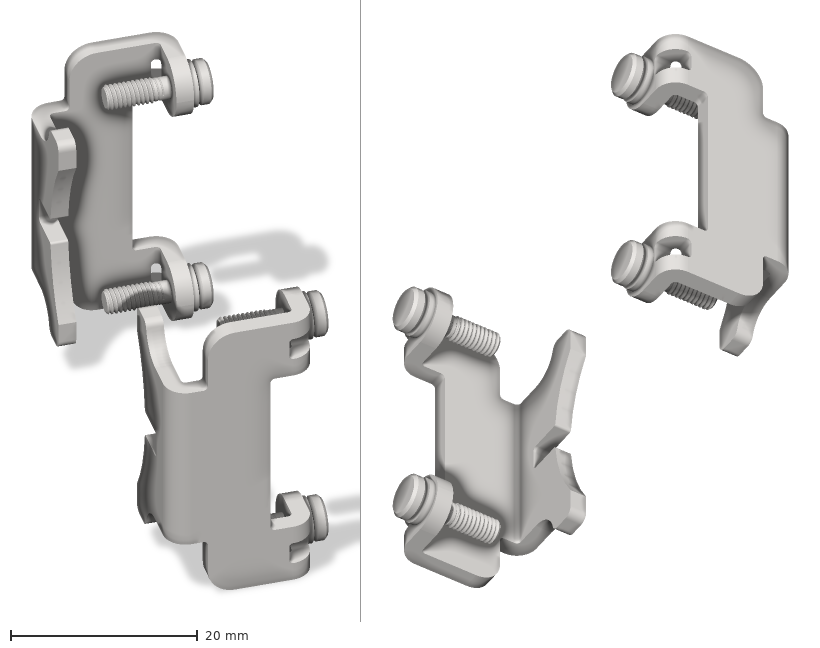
import cadquery as cq
import math

span = 55.0
half_span = span / 2
height = 34.0
half_height = height / 2
bracket_depth = 16.3

sheet = 2.0
inner_bend = 0.5
outer_bend = inner_bend + sheet
small_radius = 0.5

tab_height = 7.0
tab_end_radius = tab_height / 2
corner_margin = 0.005
tab_length = 8.5
half_neck = half_height - tab_height
screw_z = half_height - tab_end_radius
rear_notch_y = 11.3
arm_front_y = 4.3
arm_corner_radius = 3.0

relief_half_height = 1.3
relief_web_depth = 2.9
relief_tab_depth = 2.75
relief_radius = 0.45

flange_length = 12.5
half_flange = screw_z
lobe_radius = 1.0
bore_radius = 18.15
slot_floor = 5.0
half_slot = 1.55
slot_mouth_radius = 0.3

screw_x = 5.5
screw_depth = 18.7
shank_diameter = 2.55
collar_diameter = 5.2
collar_height = 0.7
neck_height = 0.19
head_diameter = 5.0
head_edge = 0.35
tip_y = 7.15
tip_chamfer = 0.3
thread_diameter = 2.8
thread_core = 2.35
thread_pitch = 0.5
thread_crest = 0.08
thread_root = 0.08
thread_overshoot = 0.05
thread_turns = 14
thread_phase = 0.05
runout_y = 12.45


def round_edges(body, points, radius):
    """Fillet the edge whose middle is nearest to each point."""
    for point in points:
        body = body.edges(cq.selectors.NearestToPointSelector(point)).fillet(radius)
    return body


def box(x_range, y_range, z_range):
    size = [high - low for low, high in (x_range, y_range, z_range)]
    corner = (x_range[0], y_range[0], z_range[0])
    return cq.Workplane("XY").box(*size, centered=False).translate(corner)


def cylinder_along_y(x, z, radius, y_range):
    length = y_range[1] - y_range[0]
    axis_start = cq.Vector(x, y_range[0], z)
    return cq.Workplane(obj=cq.Solid.makeCylinder(radius, length, axis_start, cq.Vector(0, 1, 0)))


def bent_strip():
    """Full-height U of bent sheet; its front leg only reaches the slot floor."""
    rear_inner = bracket_depth - sheet
    strip = (
        cq.Workplane("XY", origin=(0, 0, -half_height))
        .polyline([
            (0, 0), (slot_floor, 0), (slot_floor, sheet), (sheet, sheet),
            (sheet, rear_inner), (tab_length, rear_inner), (tab_length, bracket_depth), (0, bracket_depth),
        ])
        .close()
        .extrude(height)
    )
    strip = round_edges(strip, [(sheet, sheet, 0), (sheet, rear_inner, 0)], inner_bend)
    return round_edges(strip, [(0, 0, 0), (0, bracket_depth, 0)], outer_bend)


def side_outline():
    """Solid as long as the tabs, whose Y-Z outline gives the neck, the arms and the rear opening."""
    upper = [
        (0, half_neck), (arm_front_y, half_neck), (arm_front_y, half_height),
        (bracket_depth, half_height), (bracket_depth, half_neck), (rear_notch_y, half_neck),
    ]
    lower = [(y, -z) for y, z in reversed(upper)]
    body = cq.Workplane("YZ").polyline(upper + lower).close().extrude(tab_length)
    middle = tab_length / 2
    for side in (1, -1):
        inner_corners = [(middle, y, side * half_neck) for y in (arm_front_y, rear_notch_y)]
        body = round_edges(body, inner_corners, small_radius)
        body = round_edges(body, [(middle, arm_front_y, side * half_height)], arm_corner_radius)
    return body


def front_flange():
    """Flat flange with round reliefs in front of the tabs, a central slot and a concave bore end."""
    y_range = (0, sheet)
    flange = box((outer_bend, flange_length), y_range, (-half_flange, half_flange))
    middle = sheet / 2
    for side in (1, -1):
        z_range = sorted((side * half_neck, side * half_flange))
        flange = flange.cut(box((outer_bend, screw_x), y_range, z_range))
        flange = flange.cut(cylinder_along_y(screw_x, side * half_flange, tab_end_radius, y_range))
        lobe_corners = [(x, middle, side * half_flange) for x in (screw_x + tab_end_radius, flange_length)]
        flange = round_edges(flange, lobe_corners, lobe_radius)

    flange = flange.cut(cylinder_along_y(half_span, 0, bore_radius, y_range))
    flange = flange.cut(box((slot_floor, flange_length), y_range, (-half_slot, half_slot)))
    mouth_x = half_span - math.sqrt(bore_radius**2 - half_slot**2)
    for z in (half_slot, -half_slot):
        flange = round_edges(flange, [(slot_floor, middle, z)], small_radius)
        flange = round_edges(flange, [(mouth_x, middle, z)], slot_mouth_radius)
    return flange


def bend_relief(z):
    """Round-cornered slot that wraps from the web around the rear bend into the tab."""
    z_range = (z - relief_half_height, z + relief_half_height)
    web_floor = bracket_depth - relief_web_depth
    web_part = box((0, relief_tab_depth - relief_radius), (web_floor, bracket_depth), z_range)
    web_part = web_part.edges("|X and <Y").fillet(relief_radius)
    tab_part = box((0, relief_tab_depth), (web_floor + relief_radius, bracket_depth), z_range)
    tab_part = tab_part.edges("|Y and >X").fillet(relief_radius)
    return web_part.union(tab_part)


def left_bracket():
    bracket = bent_strip().intersect(side_outline())
    rear_inner = bracket_depth - sheet
    tab_middle = (rear_inner + bracket_depth) / 2
    tab_corners = [
        (tab_length, tab_middle, z) for z in (-half_height, -half_neck, half_neck, half_height)
    ]
    bracket = round_edges(bracket, tab_corners, tab_end_radius - corner_margin)
    bracket = bracket.union(front_flange())
    for z in (-screw_z, screw_z):
        bracket = bracket.cut(bend_relief(z))
        bracket = bracket.cut(cylinder_along_y(screw_x, z, shank_diameter / 2, (rear_inner, bracket_depth)))
    return bracket.translate((-half_span, 0, 0)).solids()


def screw_blank():
    """Unthreaded screw: head, neck, collar and shank as one turned shape."""
    collar_top = bracket_depth + collar_height
    head_base = collar_top + neck_height
    shank_radius = shank_diameter / 2
    thread_radius = thread_diameter / 2
    head_radius = head_diameter / 2
    return (
        cq.Workplane("XZ")
        .polyline([
            (0, tip_y), (thread_radius - tip_chamfer, tip_y), (thread_radius, tip_y + tip_chamfer),
            (thread_radius, runout_y), (shank_radius, runout_y),
            (shank_radius, bracket_depth), (collar_diameter / 2, bracket_depth),
            (collar_diameter / 2, collar_top), (shank_radius, collar_top), (shank_radius, head_base),
            (head_radius - head_edge, head_base), (head_radius, head_base + head_edge),
            (head_radius, screw_depth - head_edge), (head_radius - head_edge, screw_depth), (0, screw_depth),
        ])
        .close()
        .revolve(360, (0, 0), (0, 1))
    )


def thread_groove_turn():
    """One turn of the helical groove, V-shaped with a flat root, the lowest turn of the thread."""
    core_radius = thread_core / 2
    crest_radius = thread_diameter / 2
    outer_radius = crest_radius + thread_overshoot
    half_root = thread_root / 2
    half_opening = (thread_pitch - thread_crest) / 2
    flank_slope = (half_opening - half_root) / (crest_radius - core_radius)
    half_mouth = half_opening + flank_slope * thread_overshoot
    start = tip_y + thread_phase - 1.5 * thread_pitch
    helix = cq.Wire.makeHelix(thread_pitch, thread_pitch, core_radius, cq.Vector(0, 0, start))
    return (
        cq.Workplane("XZ")
        .polyline([
            (core_radius, start - half_root), (outer_radius, start - half_mouth),
            (outer_radius, start + half_mouth), (core_radius, start + half_root),
        ])
        .close()
        .sweep(cq.Workplane(obj=helix), isFrenet=True)
    )


def screw():
    body = screw_blank()
    groove_turn = thread_groove_turn()
    for turn in range(thread_turns):
        body = body.cut(groove_turn.translate((0, 0, turn * thread_pitch)), clean=False)
    return body.rotate((0, 0, 0), (1, 0, 0), -90)


bracket = left_bracket()
brackets = [bracket.val(), bracket.mirror("YZ").solids().val()]

screw_body = screw()
screw_axis_x = half_span - screw_x
screws = [
    screw_body.translate((x, 0, z)).solids().val()
    for x in (-screw_axis_x, screw_axis_x)
    for z in (-screw_z, screw_z)
]

result = cq.Compound.makeCompound([*brackets, *screws])